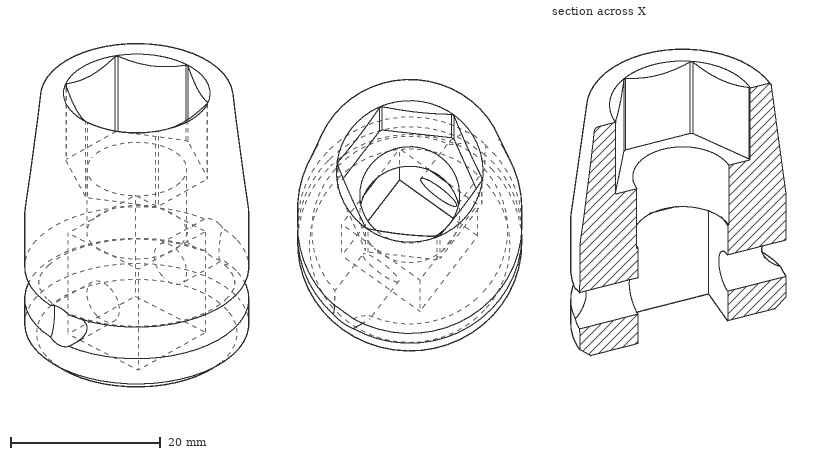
import cadquery as cq
import math

height = 38.0
body_radius = 15.0
base_chamfer_radial = 1.6
base_chamfer_height = 1.5
taper_start_z = 19.0
rim_radius = 12.9
rim_rounding = 0.6

groove_z = 8.0
groove_width = 5.0
groove_floor_radius = 13.1
pin_hole_diameter = 6.0

hex_sides = 6
hex_across_flats = 17.0
hex_corner_diameter = 19.4
hex_across_corners = hex_across_flats / math.cos(math.pi / hex_sides)
hex_turn = 180 / hex_sides
hex_depth = 12.0
lead_in_diameter = 19.6
lead_in_slope = math.radians(55)

drive_width = 13.0
drive_depth = 16.0
passage_diameter = 13.35


def revolved_body():
    """Outer shape turned about Z: base chamfer, groove, cylinder, taper, rounded rim."""
    groove_bottom_z = groove_z - groove_width / 2
    groove_top_z = groove_z + groove_width / 2
    rim_flat_radius = rim_radius - rim_rounding
    return (
        cq.Workplane("YZ")
        .lineTo(body_radius - base_chamfer_radial, 0)
        .lineTo(body_radius, base_chamfer_height)
        .lineTo(body_radius, groove_bottom_z)
        .threePointArc((groove_floor_radius, groove_z), (body_radius, groove_top_z))
        .lineTo(body_radius, taper_start_z)
        .lineTo(rim_radius, height - rim_rounding)
        .tangentArcPoint((rim_flat_radius, height), relative=False)
        .lineTo(0, height)
        .close()
        .revolve(360, (0, 0, 0), (0, 1, 0))
    )


def hex_socket():
    """Hexagonal pocket with two corners on the Y axis and trimmed corners."""
    floor = cq.Workplane("XY").workplane(offset=height - hex_depth)
    hexagon = (
        floor.polygon(hex_sides, hex_across_corners)
        .extrude(hex_depth)
        .rotate((0, 0, 0), (0, 0, 1), hex_turn)
    )
    corner_limit = floor.circle(hex_corner_diameter / 2).extrude(hex_depth)
    return hexagon.intersect(corner_limit)


def lead_in():
    """Conical countersink that guides a nut into the hexagon."""
    mouth_radius = lead_in_diameter / 2
    cone_depth = mouth_radius / math.tan(lead_in_slope)
    return (
        cq.Workplane("XZ", origin=(0, 0, height))
        .lineTo(mouth_radius, 0)
        .lineTo(0, -cone_depth)
        .close()
        .revolve(360, (0, 0, 0), (0, 1, 0))
    )


def drive_opening():
    """Square drive socket followed by the round passage up to the hexagon floor."""
    square = cq.Workplane("XY").rect(drive_width, drive_width).extrude(drive_depth)
    passage = (
        cq.Workplane("XY")
        .workplane(offset=drive_depth)
        .circle(passage_diameter / 2)
        .extrude(height - hex_depth - drive_depth)
    )
    return square.union(passage)


def pin_hole():
    """Cross hole along Y through both walls."""
    return (
        cq.Workplane("XZ", origin=(0, 0, groove_z))
        .circle(pin_hole_diameter / 2)
        .extrude(body_radius, both=True)
    )


result = revolved_body()
for opening in (hex_socket(), lead_in(), drive_opening(), pin_hole()):
    result = result.cut(opening)